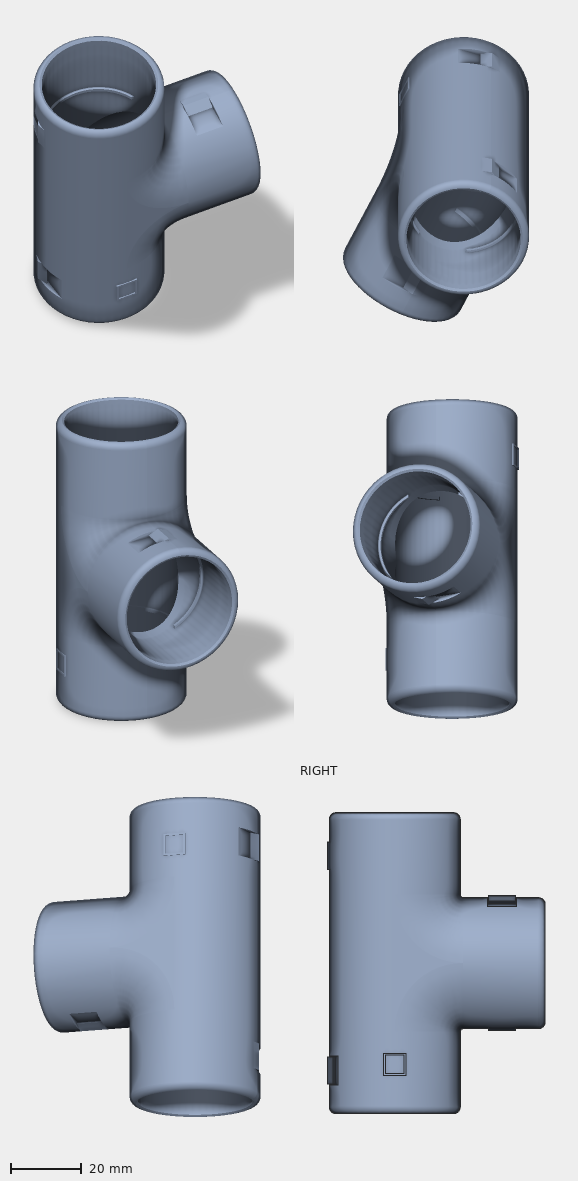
import cadquery as cq


outer_radius = 18.5
bore_radius = 16.15
mid_wall_radius = (outer_radius + bore_radius) / 2
mouth_radius = 16.8
mouth_depth = 0.5
arm_length = 42.5
end_fillet = 2.0
bend_radius = 19.3

stop_radius = 15.4
stop_distance = 20.5
stop_height = 1.0
stop_seam_gap = 14.6

clip_distance = 30.3
recess_length = 8.1
recess_reach = 9.25
recess_edge_height = (outer_radius**2 - recess_reach**2) ** 0.5
recess_floor_slope = 0.11
hook_length = 7.7
hook_peak_height = 19.05
hook_tip_reach = 2.9
hook_tip_height = 17.5
hook_foot_reach = 1.7
hook_root_reach = 2.75
hook_root_height = (outer_radius**2 - hook_root_reach**2) ** 0.5

lap_radius = mid_wall_radius
tab_reach = 3.0
tab_top = 40.0
tab_bottom = 35.2
lip_reach = 2.75

frame_size = 6.3
frame_width = 0.55
frame_height = 0.2
frame_z = 28.6

block_size = 4 * arm_length


def half_turn(shape):
    """The same shape as it sits on the opposite half."""
    return shape.rotate((0, 0, 0), (0, 1, 0), 180)


def disc(radius, start, length):
    """Round bar along Z."""
    return cq.Workplane("XY", origin=(0, 0, start)).circle(radius).extrude(length)


def toward_branch(shape):
    """Turn a shape from the +Z arm onto the +Y arm."""
    return shape.rotate((0, 0, 0), (1, 0, 0), -90)


def on_every_arm(arm_shape):
    """Copies of a +Z arm shape for the upper, lower and branch arms."""
    return [arm_shape, half_turn(arm_shape), toward_branch(arm_shape)]


def make_bend():
    """Inner half of the quarter bend that blends the upper arm into the branch."""
    return (
        cq.Workplane("XY", origin=(0, 0, bend_radius))
        .moveTo(-outer_radius, 0)
        .threePointArc((0, outer_radius), (outer_radius, 0))
        .close()
        .revolve(90, (0, bend_radius, 0), (1, bend_radius, 0))
    )


def make_web():
    """Flat-sided fill between the centre lines of the two bends."""
    near = bend_radius * (1 - 0.5**0.5)
    return (
        cq.Workplane("YZ")
        .moveTo(0, -bend_radius)
        .threePointArc((near, -near), (bend_radius, 0))
        .threePointArc((near, near), (0, bend_radius))
        .close()
        .extrude(outer_radius, both=True)
    )


def make_body():
    """Solid outer form of the whole tee."""
    back = (
        cq.Workplane("XY", origin=(0, 0, -bend_radius))
        .moveTo(-outer_radius, 0)
        .threePointArc((0, -outer_radius), (outer_radius, 0))
        .close()
        .extrude(2 * bend_radius)
    )
    bend = make_bend()
    body = back.union(make_web()).union(bend).union(half_turn(bend))
    arm = disc(outer_radius, bend_radius, arm_length - bend_radius).edges(">Z").fillet(end_fillet)
    for arm_here in on_every_arm(arm):
        body = body.union(arm_here)
    return body


def make_mouth():
    """Tapered lead-in at the open end of the upper arm."""
    start = cq.Vector(0, 0, arm_length - mouth_depth)
    return cq.Workplane(cq.Solid.makeCone(bore_radius, mouth_radius, mouth_depth, pnt=start))


def make_stop():
    """Stop ring in the upper arm, rooted halfway into the wall and open at the seam."""
    seam_gap = cq.Workplane("XY").box(stop_seam_gap, block_size, block_size)
    return (
        cq.Workplane("XY", origin=(0, 0, stop_distance))
        .circle(mid_wall_radius)
        .circle(stop_radius)
        .extrude(stop_height)
        .cut(seam_gap)
    )


def make_shell():
    """The whole tee, hollowed and fitted with its stops."""
    shell = make_body()
    for bore in on_every_arm(disc(bore_radius, 0, arm_length)):
        shell = shell.cut(bore)
    for mouth in on_every_arm(make_mouth()):
        shell = shell.cut(mouth)
    for stop in on_every_arm(make_stop()):
        shell = shell.union(stop)
    return shell


def toward_lower_front(shape):
    """Swing a clip shape from the branch top to the front of the lower arm."""
    return shape.rotate((0, 0, 0), (1, 0, 0), 90).mirror("XY")


def floor_height(reach):
    """Height of the sloping recess floor at a distance from the seam."""
    return recess_edge_height + recess_floor_slope * (recess_reach - reach)


def clip_prism(points, length):
    """Clip section (distance past the seam, height) placed on the branch top, reaching to +X."""
    return (
        cq.Workplane("XZ", origin=(0, clip_distance, 0))
        .polyline(points)
        .close()
        .extrude(length / 2, both=True)
    )


def make_recess():
    """Pocket in the +X half that receives a hook of the -X half."""
    clear_height = 2 * outer_radius
    return clip_prism(
        [
            (0, floor_height(0)),
            (recess_reach, recess_edge_height),
            (recess_reach, clear_height),
            (0, clear_height),
        ],
        recess_length,
    )


def make_hook():
    """Ridge-topped hook of the -X half, undercut at its tip."""
    return clip_prism(
        [
            (-hook_root_reach, floor_height(0)),
            (-hook_root_reach, hook_root_height),
            (0, hook_peak_height),
            (hook_tip_reach, hook_tip_height),
            (hook_foot_reach, floor_height(hook_foot_reach)),
            (0, floor_height(0)),
        ],
        hook_length,
    )


def make_lap(shell, reach, bottom, top):
    """Inner layer of the rear tube wall that reaches past the seam to +X."""
    height = top - bottom
    block = (
        cq.Workplane("XY", origin=(reach / 2, outer_radius / 2, bottom))
        .rect(reach, outer_radius)
        .extrude(height)
    )
    return shell.intersect(block).intersect(disc(lap_radius, bottom, height))


def make_frame():
    """Raised square frame on the -X flank, rooted halfway into the wall."""
    inner_size = frame_size - 2 * frame_width
    return (
        cq.Workplane("YZ", origin=(-outer_radius - frame_height, 0, frame_z))
        .rect(frame_size, frame_size)
        .rect(inner_size, inner_size)
        .extrude(outer_radius + frame_height - mid_wall_radius)
    )


def make_half():
    """The half on the -X side, with its hooks and laps reaching past the seam."""
    shell = make_shell()
    left_side = cq.Workplane("XY").box(block_size, block_size, block_size, centered=(False, True, True))
    left_side = half_turn(left_side)
    half = shell.intersect(left_side)

    tab = make_lap(shell, tab_reach, tab_bottom, tab_top)
    lip = make_lap(shell, lip_reach, -tab_bottom, -bend_radius)
    for lap in [tab, lip]:
        half = half.union(lap).cut(half_turn(lap))

    recess = half_turn(make_recess())
    front_recess = half_turn(toward_lower_front(make_recess()))
    half = half.cut(recess).cut(front_recess)

    hook = make_hook()
    half = half.union(hook).union(toward_lower_front(hook))
    return half.union(make_frame())


left_half = make_half().solids()
right_half = half_turn(left_half)

result = cq.Compound.makeCompound([left_half.val(), right_half.val()])